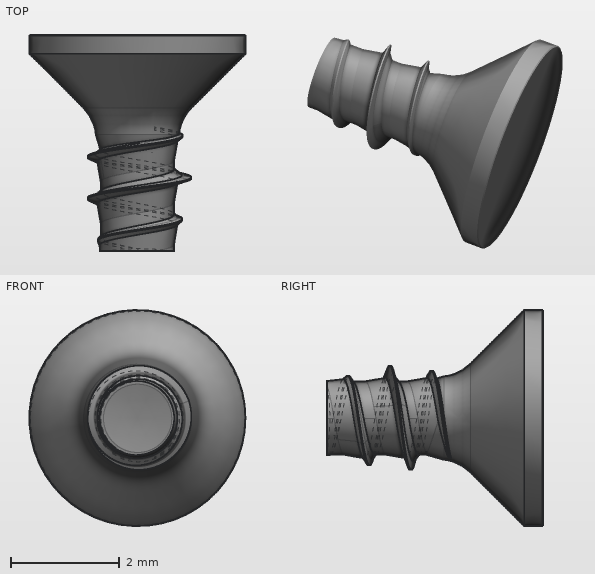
import cadquery as cq
import math

length = 4.0

head_radius = 2.0
rim_depth = 0.37
rim_edge_chamfer = 0.02
cone_end_radius = 1.0
cone_end_depth = rim_depth + head_radius - rim_edge_chamfer - cone_end_radius

neck_end_depth = 1.84
neck_end_radius = 0.77
core_start_depth = 2.16
core_radius = 0.68

dish_radius = 0.63
dish_depth = 0.055

pitch = 0.775
crest_reference_depth = 1.865
thread_start_depth = 1.72
thread_start_radius = 0.81
thread_peak_depth = 2.68
thread_peak_radius = 1.005
thread_end_radius = 0.69
crest_half_width = 0.01
mid_flank_offset = 0.05
tip_flank_width = 0.09
taper_width = 0.48
max_land_height = 0.065
land_fraction = 0.4
mid_flank_fraction = 0.45
head_flank_slope = 0.35

burial = 0.08
land_overlap = 0.005
points_per_turn = 24


def make_body():
    return (
        cq.Workplane("XY")
        .moveTo(0, 0)
        .lineTo(head_radius - rim_edge_chamfer, 0)
        .lineTo(head_radius, -rim_edge_chamfer)
        .lineTo(head_radius, rim_edge_chamfer - rim_depth)
        .lineTo(head_radius - rim_edge_chamfer, -rim_depth)
        .lineTo(cone_end_radius, -cone_end_depth)
        .tangentArcPoint((neck_end_radius, -neck_end_depth), relative=False)
        .lineTo(core_radius, -core_start_depth)
        .lineTo(core_radius, -length)
        .lineTo(0, -length)
        .close()
        .revolve(360, (0, 0, 0), (0, 1, 0))
    )


def crest_radius(depth):
    """Crest radius: a linear rise to the peak, then a linear run-out."""
    if depth < thread_peak_depth:
        rise = (depth - thread_start_depth) / (thread_peak_depth - thread_start_depth)
        return thread_start_radius + rise * (thread_peak_radius - thread_start_radius)
    fall = (depth - thread_peak_depth) / (length - thread_peak_depth)
    return thread_peak_radius + fall * (thread_end_radius - thread_peak_radius)


def thread_profile(depth):
    """Corners of the thread section as (depth, radius), from head side to tip side."""
    crest = crest_radius(depth)
    height = crest - core_radius
    buried_radius = core_radius - burial
    head_flank_width = mid_flank_offset + head_flank_slope * height
    mid_flank_radius = core_radius + mid_flank_fraction * height
    land_radius = core_radius + min(max_land_height, land_fraction * height)
    return [
        (depth - head_flank_width, buried_radius),
        (depth - head_flank_width, core_radius - land_overlap),
        (depth - mid_flank_offset, mid_flank_radius),
        (depth - crest_half_width, crest),
        (depth + crest_half_width, crest),
        (depth + tip_flank_width, land_radius),
        (depth + taper_width, core_radius - land_overlap),
        (depth + taper_width, buried_radius),
    ]


def thread_section(depth):
    """Section corners placed in the radial plane reached at this crest depth."""
    angle = 2 * math.pi * (depth - crest_reference_depth) / pitch
    return [
        cq.Vector(radius * math.cos(angle), -corner_depth, radius * math.sin(angle))
        for corner_depth, radius in thread_profile(depth)
    ]


def make_thread_piece(start, end):
    """Solid bounded by ruled faces between the helical paths of the section corners."""
    span = end - start
    steps = math.ceil(span / pitch * points_per_turn)
    sections = [thread_section(start + span * i / steps) for i in range(steps + 1)]
    paths = [cq.Edge.makeSpline(list(corner_points)) for corner_points in zip(*sections)]
    faces = [cq.Face.makeRuledSurface(paths[i - 1], paths[i]) for i in range(len(paths))]
    for section in (sections[0], sections[-1]):
        faces.append(cq.Face.makeFromWires(cq.Wire.makePolygon(section, close=True)))
    return cq.Workplane(obj=cq.Solid.makeSolid(cq.Shell.makeShell(faces)))


def add_thread(body):
    """Add the thread in pieces shorter than one turn, then trim it flush with the tip."""
    rise_middle = (thread_start_depth + thread_peak_depth) / 2
    fall_middle = (thread_peak_depth + length) / 2
    stations = [thread_start_depth, rise_middle, thread_peak_depth, fall_middle, length]
    for start, end in zip(stations, stations[1:]):
        body = body.union(make_thread_piece(start, end))
    beyond_tip = (
        cq.Workplane("XZ", origin=(0, -length, 0))
        .circle(head_radius)
        .extrude(pitch)
    )
    return body.cut(beyond_tip)


def make_dish():
    sphere_radius = (dish_radius**2 + dish_depth**2) / (2 * dish_depth)
    centre_depth = length - dish_depth + sphere_radius
    return cq.Workplane("XY").sphere(sphere_radius).translate((0, -centre_depth, 0))


result = add_thread(make_body()).cut(make_dish())